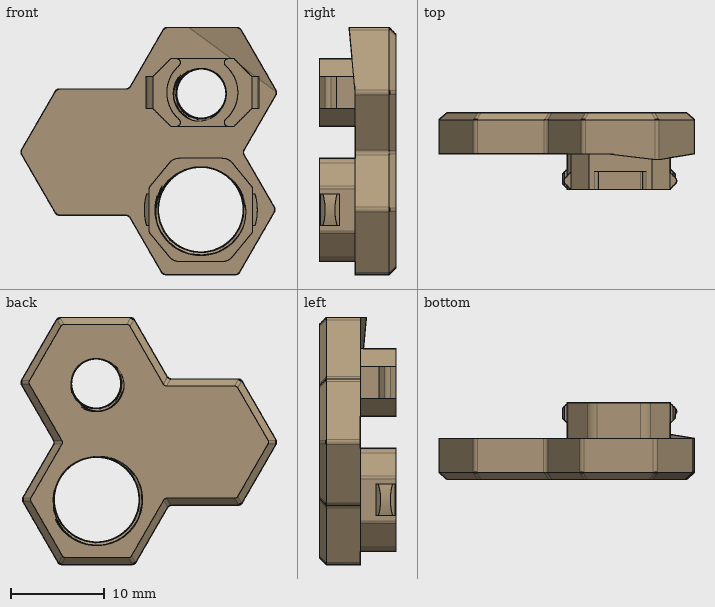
import cadquery as cq
import math


total_depth = 8.2
plate_depth = 4.39
boss_depth = total_depth - plate_depth
front_y = -plate_depth
tip_y = -total_depth

left_flats = 13.48
right_flats = 13.9
lower_lobe = (11.45, -6.13)
total_height = 26.37
upper_lobe = (11.6, lower_lobe[1] + total_height - right_flats)
corner_round = 0.55
back_chamfer = 0.75

facet_rise = 0.65
facet_run = 5.45

upper_boss = (11.63, 6.35)
upper_boss_width = 10.55
upper_boss_height = 7.22
upper_boss_chamfer = 1.9
gap_width = 4.69
gap_diameter = 7.57
gap_depth = 1.9
arm_end_round = 0.4

lower_boss = (11.47, -6.15)
lower_boss_size = 11.0
lower_boss_level_flat = 5.88
lower_boss_upright_flat = 4.8
lower_boss_level_round = 1.35
lower_boss_upright_round = 0.45

rib_length = 3.38
upper_rib_base = 1.85
upper_rib_round = 0.44
lower_rib_base = 2.07
lower_rib_diameter = 12.05
lower_rib_setback = 0.1

upper_bore = (11.52, 6.25)
upper_bore_diameter = 5.35
upper_thread_start = -140.0
upper_thread_crest = 0.38
upper_thread_root = 0.15
lower_bore = (11.47, -6.13)
lower_bore_diameter = 9.13
lower_thread_start = -90.0
lower_thread_crest = 0.15
lower_thread_root = 0.33
thread_pitch = 0.9
thread_depth = 0.33
spiral_steps = 6


def hexagon_corner_radius(flats):
    return flats / math.sqrt(3)


def at_y(y):
    """Work plane at height y whose local axes are X and Z, extruding towards -Y."""
    return cq.Workplane("XZ", origin=(0, y, 0))


def hexagonal_prism(centre, flats):
    return at_y(0).center(*centre).polygon(6, 2 * hexagon_corner_radius(flats)).extrude(total_depth)


def make_facet():
    """Wedge rising from a crease that joins the top edge to the right tip of the upper lobe."""
    corner_radius = hexagon_corner_radius(right_flats)
    crease_end = cq.Vector(upper_lobe[0] + corner_radius, front_y, upper_lobe[1])
    top_corner = crease_end + cq.Vector(-corner_radius / 2, 0, right_flats / 2)
    crease_start = top_corner - cq.Vector(facet_run, 0, 0)
    crease = crease_end - crease_start
    uphill = crease.normalized().cross(cq.Vector(0, -1, 0))
    corner_distance = (top_corner - crease_start).dot(uphill)
    return (
        cq.Workplane(cq.Plane(crease_start, xDir=uphill, normal=crease))
        .polyline([(0, 0), (corner_distance, 0), (corner_distance, -facet_rise)])
        .close()
        .extrude(crease.Length)
    )


def make_plate():
    """Three merged lobes, chamfered at the back and raised by the facet at the front."""
    lobes = hexagonal_prism((0, 0), left_flats)
    for centre in (upper_lobe, lower_lobe):
        lobes = lobes.union(hexagonal_prism(centre, right_flats))
    lobes = lobes.faces(">Y").chamfer(back_chamfer)
    lobes = lobes.edges("not #Y").fillet(corner_round)
    depth_limit = at_y(0).rect(4 * total_height, 4 * total_height).extrude(plate_depth)
    return lobes.intersect(depth_limit.union(make_facet()))


def make_ribs(base, face_offset, tip_round=0):
    """Left and right ribs with 45 degree flanks, joined through the middle of the boss."""
    tip_offset = face_offset + base / 2
    rib = (
        cq.Workplane("XY", origin=(0, 0, -rib_length / 2))
        .polyline([
            (0, -base / 2),
            (face_offset, -base / 2),
            (tip_offset, 0),
            (face_offset, base / 2),
            (0, base / 2),
        ])
        .close()
        .extrude(rib_length)
    )
    if tip_round:
        rib = rib.edges(">X").fillet(tip_round)
    return rib.union(rib.mirror("YZ"))


def make_upper_boss():
    """Ribbed block split at its tip by a gap that leaves two facing arms with rounded ends."""
    block = (
        at_y(front_y)
        .rect(upper_boss_width, upper_boss_height)
        .extrude(boss_depth)
        .edges("|Y")
        .chamfer(upper_boss_chamfer)
    )
    ribs = make_ribs(upper_rib_base, upper_boss_width / 2, upper_rib_round)
    ribs = ribs.translate((0, tip_y + upper_rib_base / 2, 0))
    gap_floor = at_y(tip_y + gap_depth)
    channel = gap_floor.rect(gap_width, upper_boss_height).extrude(gap_depth)
    pocket = gap_floor.circle(gap_diameter / 2).extrude(gap_depth)
    boss = block.union(ribs).cut(channel).cut(pocket)

    def on_arm_end(edge):
        """True for the edges where the channel leaves the boss or meets the pocket."""
        return math.isclose(abs(edge.Center().x), gap_width / 2)

    boss = boss.edges("|Y").filter(on_arm_end).fillet(arm_end_round)
    return boss.translate((upper_boss[0], 0, upper_boss[1]))


def make_lower_boss():
    """Rounded octagon with ribs whose tips lie on a cylinder around the boss."""
    half_size = lower_boss_size / 2
    half_level = lower_boss_level_flat / 2
    half_upright = lower_boss_upright_flat / 2
    block = (
        at_y(front_y)
        .polyline([
            (half_level, half_size),
            (half_size, half_upright),
            (half_size, -half_upright),
            (half_level, -half_size),
            (-half_level, -half_size),
            (-half_size, -half_upright),
            (-half_size, half_upright),
            (-half_level, half_size),
        ])
        .close()
        .extrude(boss_depth)
    )
    block = block.faces(">Z or <Z").edges("|Y").fillet(lower_boss_level_round)
    block = block.faces(">X or <X").edges("|Y").fillet(lower_boss_upright_round)
    ribs = make_ribs(lower_rib_base, half_size)
    ribs = ribs.translate((0, tip_y + lower_rib_setback + lower_rib_base / 2, 0))
    envelope = at_y(front_y).circle(lower_rib_diameter / 2).extrude(boss_depth)
    return block.union(ribs.intersect(envelope)).translate((lower_boss[0], 0, lower_boss[1]))


def polar(radius, angle):
    return (radius * math.cos(angle), radius * math.sin(angle))


def spiral(start_radius, start_angle, end_radius, end_angle):
    """Points after the start along a spiral whose radius changes evenly with the angle."""
    points = []
    for step in range(1, spiral_steps + 1):
        part = step / spiral_steps
        radius = start_radius + part * (end_radius - start_radius)
        points.append(polar(radius, start_angle + part * (end_angle - start_angle)))
    return points


def make_threaded_bore(centre, diameter, mouth_y, start_angle, crest_flat, root_flat):
    """Solid that cuts a right-hand threaded bore from its mouth to the back of the plate.

    A slice across a single thread is a closed curve: an arc on the crest, an arc on the
    root and two spirals along the flanks. Turning this slice once per pitch makes the thread.
    """
    crest_radius = diameter / 2
    root_radius = crest_radius + thread_depth
    root_angle = math.pi * root_flat / thread_pitch
    crest_angle = math.pi * (1 - crest_flat / thread_pitch)
    depth = -mouth_y
    start = math.radians(start_angle)
    mouth = cq.Plane(
        origin=(centre[0], mouth_y, centre[1]),
        xDir=(math.cos(start), 0, math.sin(start)),
        normal=(0, 1, 0),
    )
    return (
        cq.Workplane(mouth)
        .moveTo(*polar(root_radius, -root_angle))
        .threePointArc((root_radius, 0), polar(root_radius, root_angle))
        .spline(spiral(root_radius, root_angle, crest_radius, crest_angle), includeCurrent=True)
        .threePointArc((-crest_radius, 0), polar(crest_radius, -crest_angle))
        .spline(spiral(crest_radius, -crest_angle, root_radius, -root_angle), includeCurrent=True)
        .close()
        .twistExtrude(depth, 360 * depth / thread_pitch)
    )


upper_threads = make_threaded_bore(
    upper_bore,
    upper_bore_diameter,
    tip_y + gap_depth,
    upper_thread_start,
    upper_thread_crest,
    upper_thread_root,
)
lower_threads = make_threaded_bore(
    lower_bore,
    lower_bore_diameter,
    tip_y,
    lower_thread_start,
    lower_thread_crest,
    lower_thread_root,
)

result = (
    make_plate()
    .union(make_upper_boss())
    .union(make_lower_boss())
    .cut(upper_threads)
    .cut(lower_threads)
)